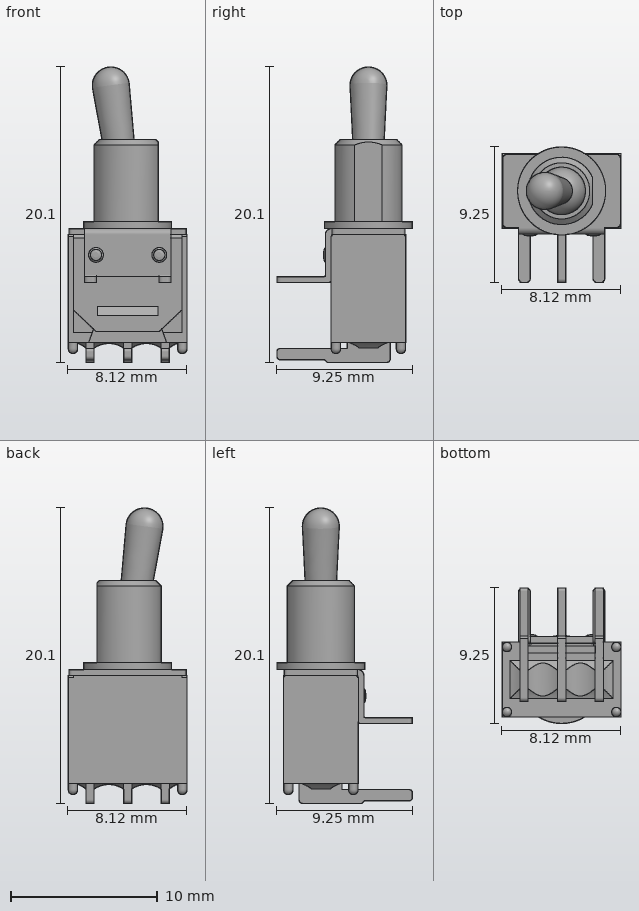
import cadquery as cq
import math


overall_height = 20.15

case_width = 8.12
case_depth = 5.12
case_height = 7.38
wall_thickness = 0.36
wall_corner_chamfer = 0.15
case_front = -case_depth / 2
core_width = case_width - 2 * wall_thickness

pin_end = -6.25

plate_width = 8.0
plate_depth = 5.0
plate_thickness = 0.4
plate_corner_radius = 0.26
plate_top = case_height + plate_thickness

panel_front = case_front + 0.12
step_front = case_front + 0.26
panel_bottom = 0.77
panel_bottom_width = 4.31
panel_corner_top = 2.24
panel_chamfer_height = 0.25
panel_chamfer_depth = 0.08
slot_width = 4.11
slot_bottom = 1.85
slot_height = 0.6
slot_depth = 0.3

tab_height = 0.7
opening_bottom_width = 5.32
opening_top_width = 4.64
opening_height = 0.97
opening_back = -1.8

flange_diameter = 6.0
flange_thickness = 0.48
flange_top = plate_top + flange_thickness
bushing_diameter = 4.6
bushing_top = 13.87
bushing_chamfer = 0.38
bushing_flat_x = 2.1
bore_diameter = 3.25

pivot_height = 9.07
lever_top = 18.8
lever_tip_radius = 1.27
lever_tip_x = -1.15
lever_taper_angle = 2.75

bracket_width = 5.9
bracket_front = -2.95
bracket_back = -plate_depth / 2
bracket_outer_radius = 0.4
bracket_leg_thickness = 0.42
bracket_bottom = 4.1
bracket_bend_radius = 0.25
bracket_inner_radius = 0.08
leg_width = 0.83
leg_corner_radius = 0.3

rivet_x = 2.15
rivet_height = 5.99
rivet_rim_radius = 0.5
rivet_shoulder_radius = 0.38
rivet_crown_radius = 0.18
rivet_shoulder_rise = 0.08
rivet_crown_rise = 0.12

post_diameter = 0.65
post_x = 3.73
post_y = 2.22
post_length = 0.42

terminal_pitch = 2.56
terminal_thickness = 0.56
terminal_bottom = lever_top - overall_height
terminal_back = 1.5
terminal_root_front = -1.45
terminal_back_radius = 0.25
terminal_shoulder_front = -2.98
tail_top = -0.38
tail_bottom = -1.17
tail_corner_radius = 0.25

seal_drop = 0.36
seal_gap_drop = 0.06
seal_flare = 0.67
seal_core_length = 1.25
seal_sag = 0.05


def box(x_min, x_max, y_min, y_max, z_min, z_max):
    size = (x_max - x_min, y_max - y_min, z_max - z_min)
    return cq.Workplane("XY").box(*size, centered=False).translate((x_min, y_min, z_min))


def plane_facing_front(y_max):
    """XZ sketch plane whose extrusions run from y_max toward -Y."""
    return cq.Workplane("XZ", origin=(0, y_max, 0))


def plane_facing_side(x_min):
    """YZ sketch plane whose extrusions run from x_min toward +X."""
    return cq.Workplane("YZ", origin=(x_min, 0, 0))


def mirror_pair(solid):
    return solid.union(solid.mirror("YZ"))


def make_side_walls():
    wall = box(core_width / 2, case_width / 2, case_front, -case_front, 0, case_height)
    wall = wall.faces(">Z").edges("|X").chamfer(wall_corner_chamfer)
    return mirror_pair(wall)


def make_opening(y_min, y_max):
    """Trapezoidal gap between the front tabs."""
    outline = [
        (-opening_bottom_width / 2, 0),
        (opening_bottom_width / 2, 0),
        (opening_top_width / 2, opening_height),
        (-opening_top_width / 2, opening_height),
    ]
    return plane_facing_front(y_max).polyline(outline).close().extrude(y_max - y_min)


def make_core():
    half_width = core_width / 2
    core = box(-half_width, half_width, step_front, -case_front, 0, case_height)
    core = core.union(box(-half_width, half_width, case_front, step_front, 0, tab_height))
    core = core.cut(make_opening(case_front, opening_back))

    panel_outline = [
        (-half_width, case_height),
        (-half_width, panel_corner_top),
        (-panel_bottom_width / 2, panel_bottom),
        (panel_bottom_width / 2, panel_bottom),
        (half_width, panel_corner_top),
        (half_width, case_height),
    ]
    panel = (
        plane_facing_front(step_front)
        .polyline(panel_outline)
        .close()
        .extrude(step_front - panel_front)
    )
    sloped_edge = [
        (panel_front, case_height - panel_chamfer_height),
        (panel_front, case_height),
        (panel_front + panel_chamfer_depth, case_height),
    ]
    slot_section = [
        (panel_front, slot_bottom),
        (panel_front, slot_bottom + slot_height),
        (panel_front + slot_depth, slot_bottom + slot_height),
    ]
    edge_cut = plane_facing_side(-half_width).polyline(sloped_edge).close().extrude(core_width)
    slot_cut = plane_facing_side(-slot_width / 2).polyline(slot_section).close().extrude(slot_width)
    return core.union(panel).cut(edge_cut).cut(slot_cut)


def make_cover_plate():
    plate = cq.Workplane("XY", origin=(0, 0, case_height))
    plate = plate.rect(plate_width, plate_depth).extrude(plate_thickness)
    return plate.edges("|Z").fillet(plate_corner_radius)


def make_bushing():
    flange = cq.Workplane("XY", origin=(0, 0, plate_top))
    flange = flange.circle(flange_diameter / 2).extrude(flange_thickness)
    radius = bushing_diameter / 2
    barrel = cq.Workplane("XY", origin=(0, 0, flange_top))
    barrel = barrel.circle(radius).extrude(bushing_top - flange_top)
    barrel = barrel.faces(">Z").chamfer(bushing_chamfer)
    beyond_flat = box(bushing_flat_x, radius, -radius, radius, flange_top, bushing_top)
    barrel = barrel.cut(beyond_flat)
    bore = cq.Workplane("XY", origin=(0, 0, pivot_height))
    bore = bore.circle(bore_diameter / 2).extrude(bushing_top - pivot_height)
    return flange.union(barrel).cut(bore)


def make_lever():
    """Upper half of the pivot ball with a leaning, tapered, round-tipped stem."""
    tip_rise = lever_top - lever_tip_radius - pivot_height
    stem_length = math.hypot(lever_tip_x, tip_rise)
    lean_angle = math.degrees(math.atan2(lever_tip_x, tip_rise))
    base_radius = lever_tip_radius - stem_length * math.tan(math.radians(lever_taper_angle))
    stem = (
        cq.Workplane("XZ")
        .lineTo(base_radius, 0)
        .lineTo(lever_tip_radius, stem_length)
        .radiusArc((0, stem_length + lever_tip_radius), -lever_tip_radius)
        .close()
        .revolve(360, (0, 0), (0, 1))
        .rotate((0, 0, 0), (0, 1, 0), lean_angle)
    )
    ball_radius = bore_diameter / 2
    ball = cq.Workplane("XY").sphere(ball_radius)
    below_pivot = box(-ball_radius, ball_radius, -ball_radius, ball_radius, -ball_radius, 0)
    return stem.union(ball).cut(below_pivot).translate((0, 0, pivot_height))


def make_bracket():
    leg_top = bracket_bottom + bracket_leg_thickness
    outline = [
        (bracket_back, bracket_bottom),
        (pin_end, bracket_bottom),
        (pin_end, leg_top),
        (bracket_front, leg_top),
        (bracket_front, plate_top),
        (bracket_back, plate_top),
    ]
    bends = [
        (bracket_front, plate_top, bracket_outer_radius),
        (bracket_front, leg_top, bracket_inner_radius),
        (bracket_back, bracket_bottom, bracket_bend_radius),
    ]
    bracket = plane_facing_side(-bracket_width / 2).polyline(outline).close().extrude(bracket_width)
    for y, z, radius in bends:
        bend_edge = cq.selectors.NearestToPointSelector((0, y, z))
        bracket = bracket.edges(bend_edge).fillet(radius)

    inner_x = bracket_width / 2 - leg_width
    bend_top = leg_top + bracket_inner_radius
    between_legs = box(-inner_x, inner_x, pin_end, bracket_front, bracket_bottom, bend_top)
    below_plate = box(-inner_x, inner_x, bracket_front, bracket_back, bracket_bottom, leg_top)
    bracket = bracket.cut(between_legs).cut(below_plate)
    return bracket.faces("<Y").edges("|Z").fillet(leg_corner_radius)


def make_rivet(x):
    rivet = (
        cq.Workplane("XY")
        .lineTo(rivet_rim_radius, 0)
        .lineTo(rivet_shoulder_radius, rivet_shoulder_rise)
        .lineTo(rivet_crown_radius, rivet_crown_rise)
        .lineTo(0, rivet_crown_rise)
        .close()
        .revolve(360, (0, 0), (0, 1))
    )
    return rivet.mirror("XZ").translate((x, bracket_front, rivet_height))


def make_post(x, y):
    shank = cq.Workplane("XY", origin=(x, y, -post_length))
    shank = shank.circle(post_diameter / 2).extrude(post_length)
    tip = cq.Workplane("XY", origin=(x, y, -post_length)).sphere(post_diameter / 2)
    return shank.union(tip)


def make_terminal(x):
    shoulder_drop = tail_bottom - terminal_bottom
    outline = [
        (terminal_back, 0),
        (terminal_back, terminal_bottom),
        (terminal_shoulder_front + shoulder_drop, terminal_bottom),
        (terminal_shoulder_front, tail_bottom),
        (pin_end, tail_bottom),
        (pin_end, tail_top),
        (terminal_root_front, tail_top),
        (terminal_root_front, 0),
    ]
    terminal = plane_facing_side(x - terminal_thickness / 2).polyline(outline).close()
    terminal = terminal.extrude(terminal_thickness)
    terminal = terminal.faces("<Y").edges("|X").fillet(tail_corner_radius)
    return terminal.faces(">Y").edges("|X and <Z").fillet(terminal_back_radius)


def make_seal():
    """Sealant that climbs each terminal root and thins out away from it."""
    half_thickness = terminal_thickness / 2
    outer = terminal_pitch + half_thickness
    core_end = seal_core_length / 2
    middle_of_flare = seal_flare / 2
    sag_drop = seal_drop / 2 - seal_sag

    across = cq.Workplane("XZ").moveTo(-outer - seal_flare, 0)
    across = across.threePointArc((-outer - middle_of_flare, -sag_drop), (-outer, -seal_drop))
    for x in (-terminal_pitch, 0):
        gap_middle = x + terminal_pitch / 2
        across = across.lineTo(x + half_thickness, -seal_drop)
        across = across.threePointArc(
            (gap_middle, -seal_gap_drop), (x + terminal_pitch - half_thickness, -seal_drop)
        )
    across = (
        across.lineTo(outer, -seal_drop)
        .threePointArc((outer + middle_of_flare, -sag_drop), (outer + seal_flare, 0))
        .close()
        .extrude(core_end + seal_flare, both=True)
    )
    along = (
        cq.Workplane("YZ")
        .moveTo(-core_end - seal_flare, 0)
        .threePointArc((-core_end - middle_of_flare, -sag_drop), (-core_end, -seal_drop))
        .lineTo(core_end, -seal_drop)
        .threePointArc((core_end + middle_of_flare, -sag_drop), (core_end + seal_flare, 0))
        .close()
        .extrude(outer + seal_flare, both=True)
    )
    return across.intersect(along)


result = make_side_walls().union(make_core()).union(make_cover_plate())
result = result.union(make_bushing())
result = result.union(make_lever()).union(make_bracket()).union(make_seal())
for x in (-rivet_x, rivet_x):
    result = result.union(make_rivet(x))
for x in (-post_x, post_x):
    for y in (-post_y, post_y):
        result = result.union(make_post(x, y))
for x in (-terminal_pitch, 0, terminal_pitch):
    result = result.union(make_terminal(x))